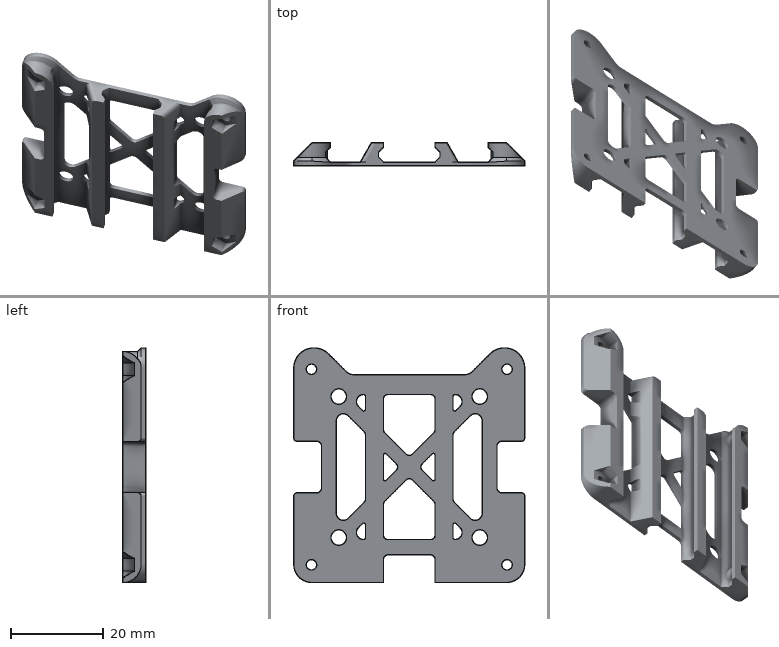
import cadquery as cq
import math

HALF_SIZE = 25.0
PLATE_THICKNESS = 0.8
SHOULDER_Z = 20.0
CORNER_RADIUS = 4.0
EAR_RADIUS = 4.4
EAR_TOP_Z = 25.79
EAR_ROOT_RADIUS = 2.5

NOTCH_HALF_WIDTH = 5.55
NOTCH_DEPTH = 6.0
NOTCH_INNER_RADIUS = 1.0
NOTCH_MOUTH_RADIUS = 0.75

STRUT_WIDTH = 3.0
WINDOW_TOP_Z = 15.65
WINDOW_CORNER_RADIUS = 0.9
WINDOW_APEX_RADIUS = 1.0
SMALL_CORNER_RADIUS = 0.35
LARGE_CORNER_RADIUS = 1.5
SLOT_OUTER_X = 15.75

CORNER_HOLE_SPACING = 42.3
CORNER_HOLE_DIAMETER = 2.2
STACK_HOLE_SPACING = 30.5
STACK_HOLE_DIAMETER = 3.3

RAIL_HEIGHT = 5.0
LIP_DEPTH = 1.0
GROOVE_DEPTH = 1.1
INNER_LIP_X = NOTCH_HALF_WIDTH
INNER_RAIL_OUTER_X = 9.5
INNER_RAIL_FOOT_X = 10.6
INNER_RAIL_CREST_X = 8.2
INNER_RAIL_END_RADIUS = 1.0
OUTER_LIP_X = 17.05
OUTER_RAIL_SIDE_HEIGHT = 1.0

NUT_ACROSS_FLATS = 4.7
NUT_FLOOR_Y = 2.5
NUT_BOSS_RADIUS = 3.5

EDGE_TOLERANCE = 0.02
ROOT_HALF = math.sqrt(0.5)
CORNER_CENTER = HALF_SIZE - CORNER_RADIUS
EAR_X = HALF_SIZE - EAR_RADIUS
EAR_Z = EAR_TOP_Z - EAR_RADIUS
EAR_OVERHANG = EAR_TOP_Z - HALF_SIZE
LIP_Y = RAIL_HEIGHT - LIP_DEPTH
GROOVE_TOP_Y = LIP_Y - GROOVE_DEPTH
GROOVE_BOTTOM_Y = PLATE_THICKNESS + GROOVE_DEPTH
STRUT_OFFSET = STRUT_WIDTH * ROOT_HALF
CORNER_HOLE = CORNER_HOLE_SPACING / 2
STACK_HOLE = STACK_HOLE_SPACING / 2


def extrude_y(sketch, start, end):
    """Extrude a wire drawn on the XZ plane from y=start to y=end."""
    return sketch.extrude(-(end - start)).translate((0, start, 0))


def prism_y(points, end=RAIL_HEIGHT):
    return extrude_y(cq.Workplane("XZ").polyline(points).close(), 0, end)


def box(x0, x1, z0, z1):
    return prism_y([(x0, z0), (x1, z0), (x1, z1), (x0, z1)])


def cylinder_y(x, z, radius, end=RAIL_HEIGHT):
    return extrude_y(cq.Workplane("XZ").center(x, z).circle(radius), 0, end)


def round_edge(solid, x, z, radius):
    """Fillet the edge parallel to Y that passes through (x, z)."""
    t = EDGE_TOLERANCE
    selector = cq.selectors.BoxSelector(
        (x - t, -t, z - t),
        (x + t, RAIL_HEIGHT + t, z + t),
    )
    return solid.edges("|Y").edges(selector).fillet(radius)


def both_sides(solid):
    return solid.union(solid.mirror("YZ"))


def make_outline(end):
    """Full plate outline, without notches, up to y=end."""
    diagonal = EAR_RADIUS * ROOT_HALF
    flank_x = -EAR_X + diagonal
    flank_z = EAR_Z + diagonal
    root_x = flank_x + flank_z - SHOULDER_Z
    left = (
        cq.Workplane("XZ")
        .moveTo(0, -HALF_SIZE)
        .lineTo(-HALF_SIZE, -HALF_SIZE)
        .lineTo(-HALF_SIZE, EAR_Z)
        .threePointArc((-EAR_X, EAR_TOP_Z), (flank_x, flank_z))
        .lineTo(root_x, SHOULDER_Z)
        .lineTo(0, SHOULDER_Z)
        .close()
    )
    half = extrude_y(left, 0, end)
    half = round_edge(half, -HALF_SIZE, -HALF_SIZE, CORNER_RADIUS)
    half = round_edge(half, root_x, SHOULDER_Z, EAR_ROOT_RADIUS)
    return both_sides(half)


def bar_z(profile, top_z):
    """Extrude an XY profile along Z from the bottom edge of the plate to top_z."""
    bar = cq.Workplane("XY").polyline(profile).close().extrude(HALF_SIZE + top_z)
    return bar.translate((0, 0, -HALF_SIZE))


def groove_points(lip_x):
    """Groove profile, cut toward -X from the lip face at lip_x."""
    return [
        (lip_x, LIP_Y),
        (lip_x - GROOVE_DEPTH, GROOVE_TOP_Y),
        (lip_x - GROOVE_DEPTH, GROOVE_BOTTOM_Y),
        (lip_x, PLATE_THICKNESS),
    ]


def inner_rail():
    profile = [
        (-INNER_RAIL_FOOT_X, 0),
        (-INNER_RAIL_FOOT_X, PLATE_THICKNESS),
        (-INNER_RAIL_CREST_X, RAIL_HEIGHT),
        (-INNER_LIP_X, RAIL_HEIGHT),
        *groove_points(-INNER_LIP_X),
        (-INNER_LIP_X, 0),
    ]
    rail = bar_z(profile, SHOULDER_Z)
    middle_x = (INNER_RAIL_FOOT_X + INNER_RAIL_CREST_X) / 2
    middle_y = (PLATE_THICKNESS + RAIL_HEIGHT) / 2
    end_edge = cq.selectors.NearestToPointSelector((-middle_x, middle_y, SHOULDER_Z))
    return rail.edges(end_edge).fillet(INNER_RAIL_END_RADIUS)


def outer_rail():
    slope_x = -HALF_SIZE + RAIL_HEIGHT - OUTER_RAIL_SIDE_HEIGHT
    envelope = bar_z(
        [
            (-HALF_SIZE, 0),
            (-HALF_SIZE, OUTER_RAIL_SIDE_HEIGHT),
            (slope_x, RAIL_HEIGHT),
            (-OUTER_LIP_X, RAIL_HEIGHT),
            (-OUTER_LIP_X, 0),
        ],
        EAR_TOP_Z,
    )
    groove = bar_z(groove_points(-OUTER_LIP_X), EAR_TOP_Z)
    for z in (CORNER_HOLE, -CORNER_HOLE):
        groove = groove.cut(cylinder_y(-CORNER_HOLE, z, NUT_BOSS_RADIUS))

    footprint = box(-HALF_SIZE, -OUTER_LIP_X, -HALF_SIZE, CORNER_CENTER)
    footprint = round_edge(footprint, -HALF_SIZE, -HALF_SIZE, CORNER_RADIUS)
    footprint = footprint.union(cylinder_y(-CORNER_CENTER, CORNER_CENTER, CORNER_RADIUS))
    footprint = footprint.union(ear_skirt())
    return envelope.intersect(footprint).cut(groove)


def ear_skirt():
    """Sloped blend from the round rail end out to the larger ear.

    Inward of the rail end's centre it is a 45 degree cone; outward it rises from a pad
    on the whole ear, ruled from the ear arc to the rail end arc.
    """
    top_y = OUTER_RAIL_SIDE_HEIGHT + EAR_OVERHANG
    cone = cq.Solid.makeCone(
        CORNER_RADIUS + top_y,
        CORNER_RADIUS,
        top_y,
        pnt=cq.Vector(-CORNER_CENTER, 0, CORNER_CENTER),
        dir=cq.Vector(0, 1, 0),
    )
    ruled = (
        cq.Workplane("XZ", origin=(-EAR_X, OUTER_RAIL_SIDE_HEIGHT, EAR_Z))
        .circle(EAR_RADIUS)
        .workplane(offset=-EAR_OVERHANG)
        .center(EAR_X - CORNER_CENTER, CORNER_CENTER - EAR_Z)
        .circle(CORNER_RADIUS)
        .loft(ruled=True)
    )
    outer_zone = box(-HALF_SIZE, -CORNER_CENTER, CORNER_CENTER, EAR_TOP_Z)
    inner_zone = box(-CORNER_CENTER, 0, 0, EAR_TOP_Z)
    pad = make_outline(OUTER_RAIL_SIDE_HEIGHT).intersect(outer_zone)
    inner = make_outline(top_y).intersect(inner_zone).intersect(cq.Workplane(cone))
    return inner.union(pad).union(ruled.intersect(outer_zone))


def center_window():
    shoulder = NOTCH_HALF_WIDTH + STRUT_OFFSET
    window = prism_y([
        (-NOTCH_HALF_WIDTH, WINDOW_TOP_Z),
        (-NOTCH_HALF_WIDTH, shoulder),
        (0, STRUT_OFFSET),
        (NOTCH_HALF_WIDTH, shoulder),
        (NOTCH_HALF_WIDTH, WINDOW_TOP_Z),
    ])
    window = round_edge(window, 0, STRUT_OFFSET, WINDOW_APEX_RADIUS)
    for x in (-NOTCH_HALF_WIDTH, NOTCH_HALF_WIDTH):
        window = round_edge(window, x, WINDOW_TOP_Z, WINDOW_CORNER_RADIUS)
        window = round_edge(window, x, shoulder, WINDOW_APEX_RADIUS)
    return window


def strut_triangle():
    base_z = NOTCH_HALF_WIDTH - STRUT_OFFSET
    triangle = prism_y([
        (-NOTCH_HALF_WIDTH, -base_z),
        (-STRUT_OFFSET, 0),
        (-NOTCH_HALF_WIDTH, base_z),
    ])
    triangle = round_edge(triangle, -STRUT_OFFSET, 0, WINDOW_APEX_RADIUS)
    for z in (-base_z, base_z):
        triangle = round_edge(triangle, -NOTCH_HALF_WIDTH, z, SMALL_CORNER_RADIUS)
    return triangle


def side_slot():
    outer_z = SLOT_OUTER_X - STRUT_OFFSET
    inner_z = INNER_RAIL_OUTER_X - STRUT_OFFSET
    slot = prism_y([
        (-SLOT_OUTER_X, -outer_z),
        (-INNER_RAIL_OUTER_X, -inner_z),
        (-INNER_RAIL_OUTER_X, inner_z),
        (-SLOT_OUTER_X, outer_z),
    ])
    for side in (1, -1):
        slot = round_edge(slot, -SLOT_OUTER_X, side * outer_z, LARGE_CORNER_RADIUS)
        slot = round_edge(slot, -INNER_RAIL_OUTER_X, side * inner_z, WINDOW_APEX_RADIUS)
    return slot


def corner_triangle():
    low_z = INNER_RAIL_OUTER_X + STRUT_OFFSET
    tip_x = STRUT_OFFSET - WINDOW_TOP_Z
    triangle = prism_y([
        (-INNER_RAIL_OUTER_X, low_z),
        (-INNER_RAIL_OUTER_X, WINDOW_TOP_Z),
        (tip_x, WINDOW_TOP_Z),
    ])
    triangle = round_edge(triangle, tip_x, WINDOW_TOP_Z, LARGE_CORNER_RADIUS)
    for z in (low_z, WINDOW_TOP_Z):
        triangle = round_edge(triangle, -INNER_RAIL_OUTER_X, z, SMALL_CORNER_RADIUS)
    return triangle


def nut_pocket():
    """Hexagon with two flats facing +/-X, on the upper left corner hole."""
    across_corners = NUT_ACROSS_FLATS / math.cos(math.radians(30))
    hexagon = cq.Workplane("XZ").polygon(6, across_corners)
    pocket = extrude_y(hexagon, NUT_FLOOR_Y, RAIL_HEIGHT)
    pocket = pocket.rotate((0, 0, 0), (0, 1, 0), 30)
    return pocket.translate((-CORNER_HOLE, 0, CORNER_HOLE))


def side_notch():
    floor_x = -HALF_SIZE + NOTCH_DEPTH
    notch = box(-HALF_SIZE, floor_x, -NOTCH_HALF_WIDTH, NOTCH_HALF_WIDTH)
    for z in (-NOTCH_HALF_WIDTH, NOTCH_HALF_WIDTH):
        notch = round_edge(notch, floor_x, z, NOTCH_INNER_RADIUS)
    return notch


def bottom_notch():
    floor_z = -HALF_SIZE + NOTCH_DEPTH
    notch = box(-NOTCH_HALF_WIDTH, NOTCH_HALF_WIDTH, -HALF_SIZE, floor_z)
    for x in (-NOTCH_HALF_WIDTH, NOTCH_HALF_WIDTH):
        notch = round_edge(notch, x, floor_z, NOTCH_INNER_RADIUS)
    return notch


def mouth_rounding():
    """Material removed to round the two mouth corners of the left side notch."""
    r = NOTCH_MOUTH_RADIUS
    cutter = box(-HALF_SIZE, -HALF_SIZE + r, NOTCH_HALF_WIDTH, NOTCH_HALF_WIDTH + r)
    cutter = cutter.cut(cylinder_y(-HALF_SIZE + r, NOTCH_HALF_WIDTH + r, r))
    return cutter.union(cutter.mirror("XY"))


left_rails = inner_rail().union(outer_rail())
body = make_outline(PLATE_THICKNESS).union(both_sides(left_rails))

upper_left_cuts = [
    corner_triangle(),
    nut_pocket(),
    cylinder_y(-CORNER_HOLE, CORNER_HOLE, CORNER_HOLE_DIAMETER / 2),
    cylinder_y(-STACK_HOLE, STACK_HOLE, STACK_HOLE_DIAMETER / 2),
]
left_cuts = [strut_triangle(), side_slot(), side_notch(), mouth_rounding()]
for cutter in upper_left_cuts:
    left_cuts += [cutter, cutter.mirror("XY")]
for cutter in left_cuts:
    body = body.cut(cutter).cut(cutter.mirror("YZ"))

window = center_window()
for cutter in (window, window.mirror("XY"), bottom_notch()):
    body = body.cut(cutter)

result = body